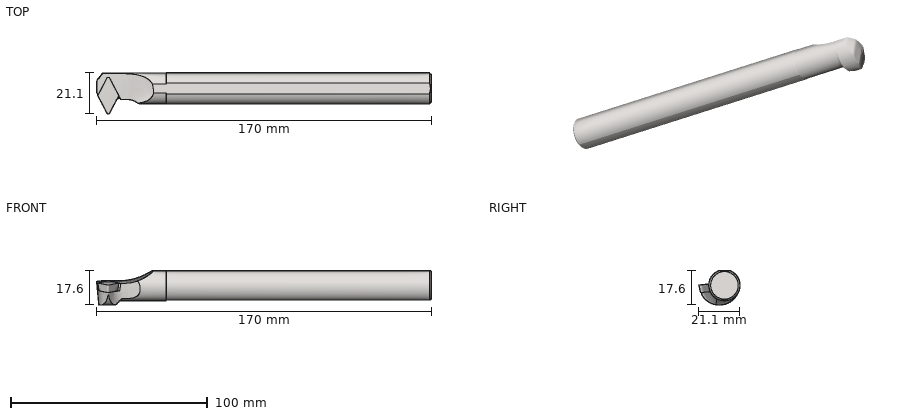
import cadquery as cq
import math

total_length = 169.96
shank_radius = 8.0
flat_height = 7.5
end_chamfer = 1.0
neck_radius = 7.85
shank_start = 35.2
neck_step_length = 0.4

head_radius = 10.35
head_center_y = -2.55
head_center_z = 0.3
head_length = 9.7
head_cone_length = 4.0

face_tilt = 6.1
face_height_on_axis = 1.57
face = cq.Plane(
    origin=(0, 0, face_height_on_axis),
    xDir=(1, 0, 0),
    normal=(0, -math.sin(math.radians(face_tilt)), math.cos(math.radians(face_tilt))),
)

ramp_center = (1.8, -0.7)
ramp_start_radius = 12.6
ramp_arc_radius = 20.5
ramp_arc_angle = math.radians(55)

insert_angle = 55.0
inscribed_diameter = 9.525
insert_thickness = 3.97
insert_relief = 7.0
nose_radius = 0.8
insert_tip_y = -13.07
insert_center_x = 5.95

half_angle = math.radians(insert_angle / 2)
insert_side = inscribed_diameter / math.sin(2 * half_angle)
insert_half_length = insert_side * math.cos(half_angle)
nose_setback = nose_radius * (1 / math.sin(half_angle) - 1)
insert_tip_v = insert_tip_y / math.cos(math.radians(face_tilt))

insert_low_v = insert_tip_v - nose_setback
insert_high_v = insert_low_v + 2 * insert_half_length
pocket_extra_side = 3.0

head_relief = 5.5
flank_offset = 0.25
corner_y = 3.94
corner_cut_angle = math.radians(38)
corner_radius = 2.8
flank_corner_radius = 1.5
wall_v = -5.75
wall_fillet = 4.9
wall_end_x = 15.9
wall_arc_radius = 9.0
wall_turn = math.radians(75)
outline_margin = 30.0
outline_depth = 15.0


def slab_about_axis(height):
    """Slab reaching from height below the bar axis to height above it."""
    return cq.Workplane("XY").box(2 * total_length, 4 * shank_radius, 2 * height)


def make_shank():
    """Bar with a chamfered rear end and a short cone down to the neck, flattened top and bottom."""
    bar = (
        cq.Workplane("YZ", origin=(shank_start, 0, 0))
        .circle(shank_radius)
        .extrude(total_length - shank_start)
        .faces(">X")
        .chamfer(end_chamfer)
        .faces("<X")
        .chamfer(neck_step_length, shank_radius - neck_radius)
    )
    return bar.intersect(slab_about_axis(flat_height))


def make_neck():
    """Slightly thinner round neck, flattened on top only."""
    neck = cq.Workplane("YZ").circle(neck_radius).extrude(shank_start)
    top_flat = (
        cq.Workplane("XY", origin=(0, 0, flat_height))
        .box(2 * total_length, 4 * shank_radius, shank_radius, centered=(True, True, False))
    )
    return neck.cut(top_flat)


def make_head():
    """Head cylinder followed by its 45 degree cone, trimmed off along the inclined top face."""
    cone_end = head_length + head_cone_length
    profile = [
        (0, 0),
        (0, head_radius),
        (head_length, head_radius),
        (cone_end, head_radius - head_cone_length),
        (cone_end, 0),
    ]
    turned_head = (
        cq.Workplane("XY", origin=(0, head_center_y, head_center_z))
        .polyline(profile)
        .close()
        .revolve(360, (0, 0, 0), (1, 0, 0))
    )
    above_face = cq.Workplane(face).rect(4 * head_radius, 4 * head_radius).extrude(2 * head_radius)
    return turned_head.cut(above_face)


def make_chip_space():
    """Everything above the top face, ending in the concave ramp."""

    def ramp_point(angle):
        radius = ramp_start_radius + ramp_arc_radius * math.sin(angle)
        return radius, ramp_arc_radius * (1 - math.cos(angle))

    ramp_end = ramp_point(ramp_arc_angle)
    center_x, center_v = ramp_center
    section = cq.Plane(
        origin=face.toWorldCoords((center_x, center_v, 0)), xDir=face.xDir, normal=-face.yDir
    )
    return (
        cq.Workplane(section)
        .lineTo(ramp_start_radius, 0)
        .threePointArc(ramp_point(ramp_arc_angle / 2), ramp_end)
        .lineTo(0, ramp_end[1])
        .close()
        .revolve(360, (0, 0, 0), (0, 1, 0))
    )


def rounded_outline(corners):
    """Closed outline in the top face; each corner is (x, v, radius), radius 0 keeping it sharp."""
    path = cq.Workplane(face)
    for index, (x, v, radius) in enumerate(corners):
        before_x, before_v, _ = corners[index - 1]
        after_x, after_v, _ = corners[(index + 1) % len(corners)]
        corner = cq.Vector(x, v)
        to_before = (cq.Vector(before_x, before_v) - corner).normalized()
        to_after = (cq.Vector(after_x, after_v) - corner).normalized()
        half_corner = to_before.getAngle(to_after) / 2
        setback = radius / math.tan(half_corner)
        arc_start = corner + to_before * setback
        arc_end = corner + to_after * setback
        go_to = path.lineTo if index > 0 else path.moveTo
        path = go_to(arc_start.x, arc_start.y)
        if radius > 0:
            arc_depth = radius / math.sin(half_corner) - radius
            arc_middle = corner + (to_before + to_after).normalized() * arc_depth
            path = path.threePointArc((arc_middle.x, arc_middle.y), (arc_end.x, arc_end.y))
    return path.close()


def make_outline():
    """Space kept around the head: its flanks, and the wall that clears the neck, with relief."""
    tip_v = insert_low_v + flank_offset / math.sin(half_angle)
    flank_corner_v = tip_v + insert_center_x / math.tan(half_angle)
    wall_start_x = insert_center_x + (wall_v - tip_v) * math.tan(half_angle)
    wall_corner_x = wall_end_x + wall_arc_radius * math.tan(wall_turn / 2)
    wall_exit_x = wall_corner_x + (outline_margin + wall_v) / math.tan(wall_turn)
    corner_cut_x = (outline_margin - corner_y) * math.tan(corner_cut_angle)
    far_x = total_length + outline_margin
    corners = [
        (far_x, outline_margin, 0),
        (corner_cut_x, outline_margin, 0),
        (0, corner_y, corner_radius),
        (0, flank_corner_v, flank_corner_radius),
        (insert_center_x, tip_v, nose_radius),
        (wall_start_x, wall_v, wall_fillet),
        (wall_corner_x, wall_v, wall_arc_radius),
        (wall_exit_x, -outline_margin, 0),
        (far_x, -outline_margin, 0),
    ]
    below = rounded_outline(corners).extrude(-outline_depth, taper=head_relief)
    above = rounded_outline(corners).extrude(outline_depth, taper=-head_relief)
    return below.union(above, clean=False)


def make_rhombus(side):
    """Relieved rhombic plate below the top face, hung from the inner sharp corner of the insert."""
    half_width = side * math.sin(half_angle)
    half_length = side * math.cos(half_angle)
    middle_v = insert_high_v - half_length
    corners = [
        (insert_center_x, insert_high_v, nose_radius),
        (insert_center_x + half_width, middle_v, 0),
        (insert_center_x, middle_v - half_length, nose_radius),
        (insert_center_x - half_width, middle_v, 0),
    ]
    return rounded_outline(corners).extrude(-insert_thickness, taper=insert_relief)


insert = make_rhombus(insert_side)
pocket = make_rhombus(insert_side + pocket_extra_side)
holder = (
    make_neck()
    .union(make_shank())
    .union(make_head())
    .cut(make_chip_space())
    .intersect(make_outline())
    .cut(pocket)
)

result = cq.Compound.makeCompound([holder.solids().val(), insert.solids().val()])